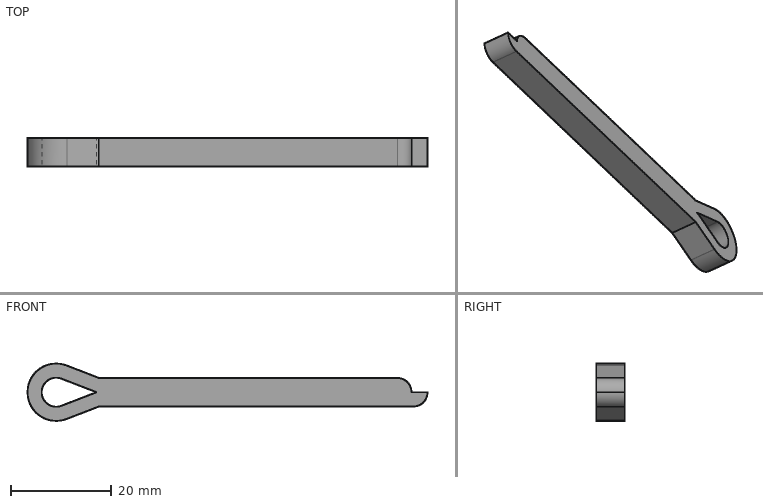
import cadquery as cq
import math

total_length = 79.7
leg_thickness = 2.9
width = 2 * leg_thickness
eye_outer_radius = 2 * leg_thickness
eye_inner_radius = eye_outer_radius - leg_thickness
tip_distance = 8.0
leg_offset = 3.2

leg_end = total_length - eye_outer_radius
upper_leg_end = leg_end - leg_offset

flank_angle = math.asin(eye_inner_radius / tip_distance)
sin_flank = math.sin(flank_angle)
cos_flank = math.cos(flank_angle)
neck_x = (eye_outer_radius - leg_thickness * cos_flank) / sin_flank


def make_body():
    """Outer outline: round eye, tapering neck and two stepped legs with rounded ends."""
    tangent_x = eye_outer_radius * sin_flank
    tangent_z = eye_outer_radius * cos_flank
    round_mid = leg_thickness * math.sqrt(0.5)
    return (
        cq.Workplane("XZ")
        .moveTo(tangent_x, tangent_z)
        .lineTo(neck_x, leg_thickness)
        .lineTo(upper_leg_end - leg_thickness, leg_thickness)
        .threePointArc(
            (upper_leg_end - leg_thickness + round_mid, round_mid),
            (upper_leg_end, 0),
        )
        .lineTo(leg_end, 0)
        .threePointArc(
            (leg_end - leg_thickness + round_mid, -round_mid),
            (leg_end - leg_thickness, -leg_thickness),
        )
        .lineTo(neck_x, -leg_thickness)
        .lineTo(tangent_x, -tangent_z)
        .threePointArc((-eye_outer_radius, 0), (tangent_x, tangent_z))
        .close()
        .extrude(width / 2, both=True)
    )


def make_eye_opening():
    """Teardrop opening between the legs."""
    tangent_x = eye_inner_radius * sin_flank
    tangent_z = eye_inner_radius * cos_flank
    return (
        cq.Workplane("XZ")
        .moveTo(tangent_x, tangent_z)
        .lineTo(tip_distance, 0)
        .lineTo(tangent_x, -tangent_z)
        .threePointArc((-eye_inner_radius, 0), (tangent_x, tangent_z))
        .close()
        .extrude(width / 2, both=True)
    )


result = make_body().cut(make_eye_opening())